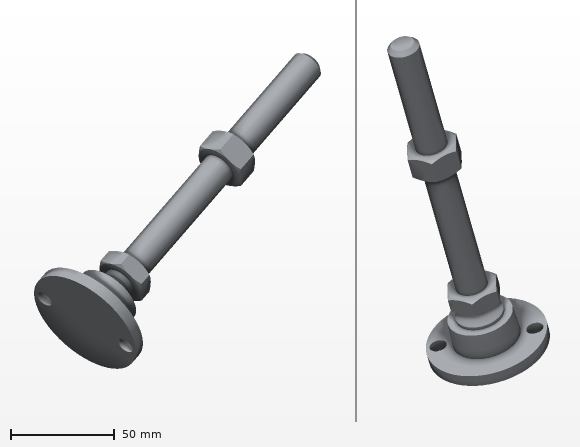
import cadquery as cq
import math

total_length = 188.0

plate_diameter = 60.0
plate_thickness = 6.0
hole_diameter = 8.5
hole_spacing = 47.8

cup_top_y = 20.0
cup_base_diameter = 33.8
cup_top_diameter = 32.3

rod_diameter = 16.0
rod_chamfer = 2.3
collar_height = 1.7
neck_start_y = 26.0

nut_across_flats = 24.0
lower_nut_y = 29.1
lower_nut_height = 8.8
upper_nut_y = 112.0
upper_nut_height = 13.0
nut_chamfer_angle = 30.0


def revolve_about_y(profile):
    """Turn a closed XY profile one full revolution about the Y axis."""
    return profile.close().revolve(360, (0, 0, 0), (0, 1, 0))


def y_plane(y):
    """Sketch plane at height y whose normal points along +Y."""
    return cq.Workplane(cq.Plane(origin=(0, y, 0), xDir=(1, 0, 0), normal=(0, 1, 0)))


def make_base():
    """Drilled plate with a cup whose wall curves inward from a vertical foot."""
    plate = y_plane(0).circle(plate_diameter / 2).extrude(plate_thickness)
    cup = revolve_about_y(cup_profile())
    holes = (
        y_plane(0)
        .pushPoints([(-hole_spacing / 2, 0), (hole_spacing / 2, 0)])
        .circle(hole_diameter / 2)
        .extrude(plate_thickness)
    )
    return plate.cut(holes).union(cup)


def cup_profile():
    """Half section of the cup; the wall arc is vertical where it meets the plate."""
    height = cup_top_y - plate_thickness
    inset = (cup_base_diameter - cup_top_diameter) / 2
    arc_radius = (height**2 + inset**2) / (2 * inset)
    half_angle = math.asin(height / arc_radius) / 2
    arc_middle = (
        cup_base_diameter / 2 - arc_radius * (1 - math.cos(half_angle)),
        plate_thickness + arc_radius * math.sin(half_angle),
    )
    return (
        cq.Workplane("XY")
        .moveTo(0, plate_thickness)
        .lineTo(cup_base_diameter / 2, plate_thickness)
        .threePointArc(arc_middle, (cup_top_diameter / 2, cup_top_y))
        .lineTo(0, cup_top_y)
    )


def make_spindle():
    """Collar, cone and rod with a chamfered free end."""
    collar_radius = nut_across_flats / 2
    rod_radius = rod_diameter / 2
    return revolve_about_y(
        cq.Workplane("XY")
        .moveTo(0, cup_top_y)
        .lineTo(collar_radius, cup_top_y)
        .lineTo(collar_radius, cup_top_y + collar_height)
        .lineTo(rod_radius, neck_start_y)
        .lineTo(rod_radius, total_length - rod_chamfer)
        .lineTo(rod_radius - rod_chamfer, total_length)
        .lineTo(0, total_length)
    )


def make_nut(start_y, height):
    """Hexagonal nut with corners along Z and conical chamfers on both faces."""
    flat_radius = nut_across_flats / 2
    corner_radius = flat_radius / math.cos(math.pi / 6)
    chamfer_drop = (corner_radius - flat_radius) * math.tan(math.radians(nut_chamfer_angle))
    hexagon = (
        y_plane(start_y)
        .polygon(6, 2 * corner_radius)
        .extrude(height)
        .rotate((0, 0, 0), (0, 1, 0), 90)
    )
    envelope = revolve_about_y(
        cq.Workplane("XY")
        .moveTo(0, start_y)
        .lineTo(flat_radius, start_y)
        .lineTo(corner_radius, start_y + chamfer_drop)
        .lineTo(corner_radius, start_y + height - chamfer_drop)
        .lineTo(flat_radius, start_y + height)
        .lineTo(0, start_y + height)
    )
    return hexagon.intersect(envelope)


result = make_base().union(make_spindle())
for start_y, height in [(lower_nut_y, lower_nut_height), (upper_nut_y, upper_nut_height)]:
    result = result.union(make_nut(start_y, height))